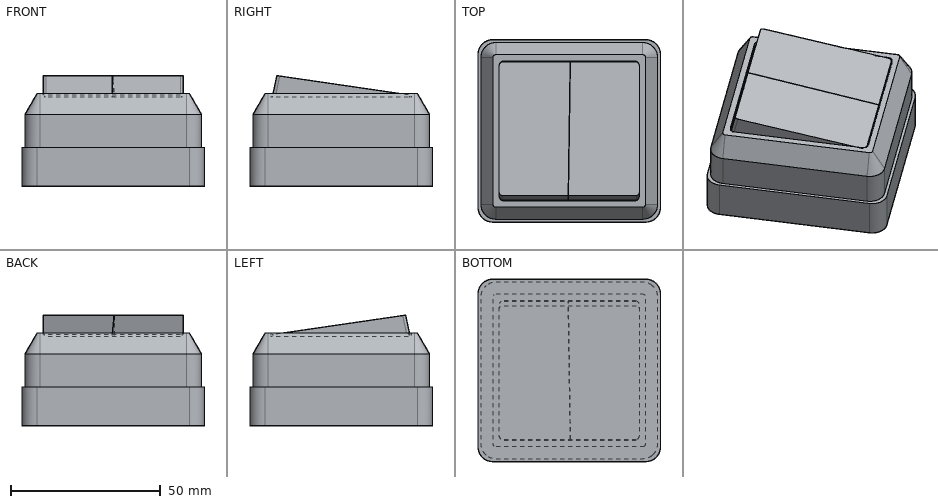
import cadquery as cq
import math

box_side = 61.0
box_height = 13.0
corner_radius = 5.0

cover_side = 59.0
skirt_height = 11.0
taper_height = 7.0
taper_inset = 4.05
rim_z = box_height + skirt_height + taper_height

recess_side = 46.8
recess_depth = 1.2
recess_radius = 1.75
recess_floor_z = rim_z - recess_depth

rocker_front_gap = 0.6
rocker_back_gap = 0.4
rocker_radius = 1.0
rocker_top_z = 37.0
rocker_tilt = math.radians(8.3)
rocker_front_lean = math.radians(12.0)

slit_width = 0.15
slit_turn = -0.85


def rounded_block(side, height, radius, base_z):
    """Square block with rounded vertical edges, centred on the Z axis."""
    block = cq.Workplane("XY").workplane(offset=base_z).rect(side, side).extrude(height)
    return block.edges("|Z").fillet(radius)


def make_cover():
    """Straight skirt topped by a frustum whose corners narrow to a small radius."""
    skirt = rounded_block(cover_side, skirt_height, corner_radius, box_height)
    taper_angle = math.degrees(math.atan2(taper_inset, taper_height))
    return skirt.faces(">Z").wires().toPending().workplane().extrude(taper_height, taper=taper_angle)


def make_rockers():
    """Sloped wedge with a leaning front face, split in two by the slit."""
    front_y = -recess_side / 2 + rocker_front_gap
    back_y = recess_side / 2 - rocker_back_gap
    lean = math.tan(rocker_front_lean)
    crest_y = front_y + (rocker_top_z - rim_z) * lean
    foot_y = front_y - recess_depth * lean
    back_z = rocker_top_z - (back_y - crest_y) * math.tan(rocker_tilt)
    profile = [
        (foot_y, recess_floor_z),
        (crest_y, rocker_top_z),
        (back_y, back_z),
        (back_y, recess_floor_z),
    ]
    wedge = (
        cq.Workplane("YZ")
        .polyline(profile)
        .close()
        .extrude(recess_side / 2, both=True)
    )
    wedge = wedge.faces("<Y").edges("not |X").fillet(rocker_radius)
    wedge = wedge.edges("|Z and >Y").fillet(rocker_radius)
    slit = (
        cq.Workplane("XY")
        .workplane(offset=recess_floor_z)
        .rect(slit_width, box_side)
        .extrude(rocker_top_z - recess_floor_z)
        .rotate((0, 0, 0), (0, 0, 1), slit_turn)
    )
    return wedge.cut(slit)


housing = rounded_block(box_side, box_height, corner_radius, 0).union(make_cover())
recess = rounded_block(recess_side, recess_depth, recess_radius, recess_floor_z)
result = housing.cut(recess).union(make_rockers())